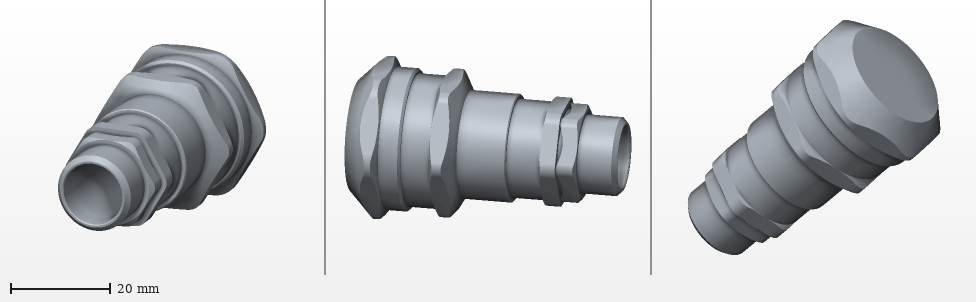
import cadquery as cq
import math


LENGTH = 55.1

SMALL_HEX_START = 8.0
MATING_FACE = 11.95
MEDIUM_HEX_END = 15.3
SLEEVE_START = 22.15
LARGE_HEX_START = 32.2
LARGE_HEX_END = 37.35
COLLAR_START = 43.15
CAP_HEX_START = 47.6

THREAD_DIA = 16
NECK_DIA = 20.0
SLEEVE_DIA = 22.0
BARREL_DIA = 27
COLLAR_DIA = 29.0
CAP_END_DIA = 22.9
BORE_DIA = 12.8

THREAD_CHAMFER = 1.0
SLEEVE_CHAMFER = 0.2
COLLAR_CHAMFER = 0.5
BORE_CHAMFER = 0.2
HEX_CHAMFER_SLOPE = math.tan(math.radians(30))

SMALL_FLATS = 18.0
SMALL_CORNER = 2.5
MEDIUM_FLATS = NECK_DIA
MEDIUM_CORNER = 3.0
MEDIUM_CHAMFER_DIA = 21.0
LARGE_FLATS = BARREL_DIA
LARGE_CORNER = 3.0
CAP_FLATS = 30.0
CAP_CORNER = 5.0
UNTRIMMED_RADIUS = MEDIUM_FLATS

RING_INNER_DIA = 14.5
RING_SECTION_DIA = 1.5
RING_CENTRE_RADIUS = (RING_INNER_DIA + RING_SECTION_DIA) / 2
RING_OUTER_DIA = RING_INNER_DIA + 2 * RING_SECTION_DIA
GROOVE_DEPTH = 0.95
GROOVE_FLOOR = MATING_FACE - GROOVE_DEPTH
FLARE_DIA = 19.85

BORE_DEPTH = SLEEVE_START


def turned(points):
    """Solid of revolution about Y; each point is (radius, station)."""
    return cq.Workplane("XY").polyline(points).close().revolve(360, (0, 0), (0, 1))


def cylinder(diameter, start, end):
    """Plain round section between two stations."""
    radius = diameter / 2
    return turned([(0, start), (radius, start), (radius, end), (0, end)])


def chamfered_start(diameter, start, end, chamfer):
    """Round section with a 45 degree chamfer on its entry-side edge."""
    return cylinder(diameter, start, end).faces("<Y").chamfer(chamfer)


def hex_prism(flats, corner_radius, start, end):
    """Hexagon with flats facing +Z and -Z and rounded corners."""
    across_corners = flats / math.cos(math.radians(30))
    return (
        cq.Workplane("XZ", origin=(0, start, 0))
        .polygon(6, across_corners)
        .extrude(start - end)
        .edges("|Y")
        .fillet(corner_radius)
    )


def cone_trim(start, end, start_radius, start_slope, end_radius, end_slope):
    """Envelope widening from both end radii at the given axial slopes until the two cones meet."""
    combined_rise = end - start + start_slope * start_radius + end_slope * end_radius
    meet_radius = combined_rise / (start_slope + end_slope)
    meet_station = start + start_slope * (meet_radius - start_radius)
    return turned([(0, start), (start_radius, start), (meet_radius, meet_station), (end_radius, end), (0, end)])


def threaded_entry():
    return chamfered_start(THREAD_DIA, 0, SMALL_HEX_START, THREAD_CHAMFER)


def small_hex():
    """Hexagon chamfered toward the entry."""
    prism = hex_prism(SMALL_FLATS, SMALL_CORNER, SMALL_HEX_START, MATING_FACE)
    trim = cone_trim(
        SMALL_HEX_START, MATING_FACE, SMALL_FLATS / 2, HEX_CHAMFER_SLOPE, UNTRIMMED_RADIUS, HEX_CHAMFER_SLOPE
    )
    return prism.intersect(trim)


def medium_hex():
    """Hexagon chamfered toward the cap."""
    prism = hex_prism(MEDIUM_FLATS, MEDIUM_CORNER, MATING_FACE, MEDIUM_HEX_END)
    trim = cone_trim(
        MATING_FACE, MEDIUM_HEX_END, UNTRIMMED_RADIUS, HEX_CHAMFER_SLOPE, MEDIUM_CHAMFER_DIA / 2, HEX_CHAMFER_SLOPE
    )
    return prism.intersect(trim)


def large_hex():
    """Hexagon chamfered at both ends, down to the sleeve and to the barrel."""
    prism = hex_prism(LARGE_FLATS, LARGE_CORNER, LARGE_HEX_START, LARGE_HEX_END)
    trim = cone_trim(
        LARGE_HEX_START, LARGE_HEX_END, SLEEVE_DIA / 2, HEX_CHAMFER_SLOPE, BARREL_DIA / 2, HEX_CHAMFER_SLOPE
    )
    return prism.intersect(trim)


def cap_hex():
    """Hexagon chamfered toward the collar and tapered at 45 degrees to the cap end."""
    prism = hex_prism(CAP_FLATS, CAP_CORNER, CAP_HEX_START, LENGTH)
    trim = cone_trim(CAP_HEX_START, LENGTH, COLLAR_DIA / 2, HEX_CHAMFER_SLOPE, CAP_END_DIA / 2, 1)
    return prism.intersect(trim)


def bore():
    """Blind bore with a small entry chamfer."""
    radius = BORE_DIA / 2
    return turned([
        (0, 0),
        (radius + BORE_CHAMFER, 0),
        (radius, BORE_CHAMFER),
        (radius, BORE_DEPTH),
        (0, BORE_DEPTH),
    ])


def ring_groove():
    """Ring seat across the mating face, flaring at 45 degrees through the flats of the small hexagon."""
    inner = RING_INNER_DIA / 2
    outer = RING_OUTER_DIA / 2
    flare = FLARE_DIA / 2
    seat_end = GROOVE_FLOOR + RING_SECTION_DIA
    return turned([
        (inner, GROOVE_FLOOR),
        (flare - GROOVE_DEPTH, GROOVE_FLOOR),
        (flare, MATING_FACE),
        (outer, MATING_FACE),
        (outer, seat_end),
        (inner, seat_end),
    ])


def build_housing():
    body = threaded_entry()
    sections = [
        small_hex(),
        medium_hex(),
        cylinder(NECK_DIA, MEDIUM_HEX_END, SLEEVE_START),
        chamfered_start(SLEEVE_DIA, SLEEVE_START, LARGE_HEX_START, SLEEVE_CHAMFER),
        large_hex(),
        cylinder(BARREL_DIA, LARGE_HEX_END, COLLAR_START),
        chamfered_start(COLLAR_DIA, COLLAR_START, CAP_HEX_START, COLLAR_CHAMFER),
        cap_hex(),
    ]
    for section in sections:
        body = body.union(section)
    return body.cut(bore()).cut(ring_groove())


def build_sealing_ring():
    """Round-section ring touching the groove floor."""
    centre_station = GROOVE_FLOOR + RING_SECTION_DIA / 2
    return (
        cq.Workplane("XY")
        .center(RING_CENTRE_RADIUS, centre_station)
        .circle(RING_SECTION_DIA / 2)
        .revolve(360, (-RING_CENTRE_RADIUS, 0), (-RING_CENTRE_RADIUS, 1))
    )


housing = build_housing()
sealing_ring = build_sealing_ring()

result = cq.Compound.makeCompound([housing.val(), sealing_ring.val()])